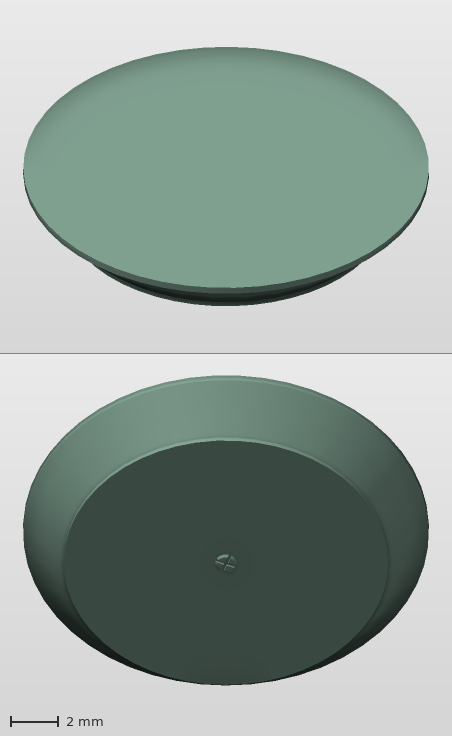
import cadquery as cq

rim_diameter = 17.0
base_diameter = 13.6
rim_height = 0.3
base_height = 0.2
cone_height = (rim_diameter - base_diameter) / 2

feet_width = 0.92
feet_height = 0.08
feet_taper = 45.0
slot_width = 0.14


def make_disc():
    """Revolve the stepped, conical profile; its underside lies at Z = 0."""
    cone_top = base_height + cone_height
    disc_top = cone_top + rim_height
    profile = (
        cq.Workplane("XZ")
        .moveTo(0, 0)
        .lineTo(base_diameter / 2, 0)
        .lineTo(base_diameter / 2, base_height)
        .lineTo(rim_diameter / 2, cone_top)
        .lineTo(rim_diameter / 2, disc_top)
        .lineTo(0, disc_top)
        .close()
    )
    return profile.revolve(360, (0, 0, 0), (0, 1, 0))


def make_feet():
    """Tapered round pad with one square corner at -X -Y, cut into four by a cross slot."""
    feet_radius = feet_width / 2
    round_pad = cq.Workplane("XY").circle(feet_radius).extrude(-feet_height, taper=feet_taper)
    square_pad = cq.Workplane("XY").rect(feet_width, feet_width).extrude(-feet_height, taper=feet_taper)
    corner = cq.Workplane("XY").box(feet_radius, feet_radius, feet_height, centered=False)
    corner = corner.translate((-feet_radius, -feet_radius, -feet_height))
    pad = round_pad.union(square_pad.intersect(corner))
    slot_x = cq.Workplane("XY").rect(feet_width, slot_width).extrude(-feet_height)
    slot_y = cq.Workplane("XY").rect(slot_width, feet_width).extrude(-feet_height)
    return pad.cut(slot_x).cut(slot_y)


result = make_disc().union(make_feet())